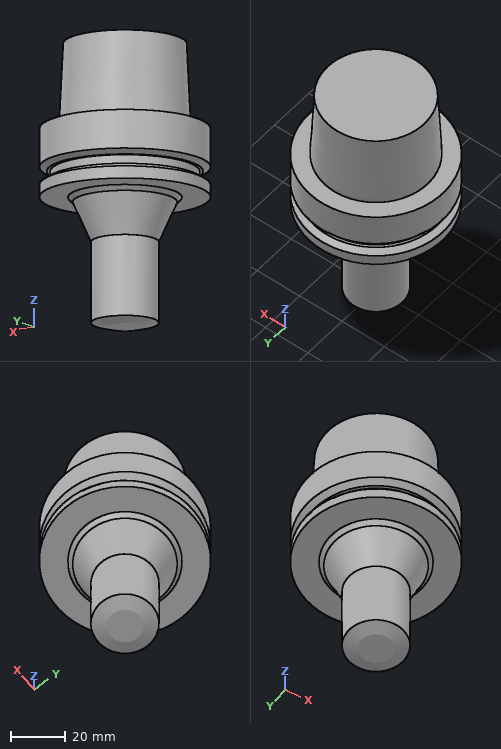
import cadquery as cq

total_length = 107.0

tip_diameter = 13.7
shank_diameter = 25.0
neck_diameter = 38.4
neck_top_diameter = 41.9
flange_diameter = 63.0
groove_diameter = 55.0
groove_mouth_diameter = 57.5
taper_base_diameter = 48.5
taper_top_diameter = 45.5

tip_height = 1.6
shank_height = 30.5
neck_height = 15.1
neck_bevel_height = 1.8
lower_rim_height = 4.6
groove_bevel_height = 1.6
groove_width = 3.5
upper_rim_height = 14.5
collar_height = 1.9

shank_bottom = tip_height
shank_top = shank_bottom + shank_height
neck_top = shank_top + neck_height
flange_bottom = neck_top + neck_bevel_height
lower_rim_top = flange_bottom + lower_rim_height
groove_bottom = lower_rim_top + groove_bevel_height
groove_top = groove_bottom + groove_width
upper_rim_bottom = groove_top + groove_bevel_height
flange_top = upper_rim_bottom + upper_rim_height
taper_bottom = flange_top + collar_height

profile = [
    (tip_diameter, 0),
    (shank_diameter, shank_bottom),
    (shank_diameter, shank_top),
    (neck_diameter, neck_top),
    (neck_top_diameter, flange_bottom),
    (flange_diameter, flange_bottom),
    (flange_diameter, lower_rim_top),
    (groove_mouth_diameter, groove_bottom),
    (groove_diameter, groove_bottom),
    (groove_diameter, groove_top),
    (groove_mouth_diameter, groove_top),
    (flange_diameter, upper_rim_bottom),
    (flange_diameter, flange_top),
    (taper_base_diameter, flange_top),
    (taper_base_diameter, taper_bottom),
    (taper_top_diameter, total_length),
]
outline = [(diameter / 2, height) for diameter, height in profile]
axis_points = [(0, total_length), (0, 0)]

result = (
    cq.Workplane("XZ")
    .polyline(outline + axis_points)
    .close()
    .revolve(360, (0, 0), (0, 1))
)